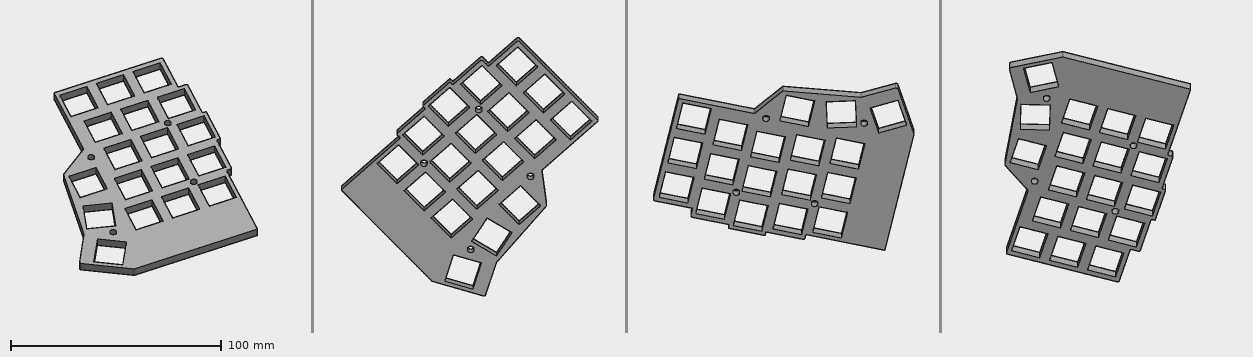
import cadquery as cq
import math


thickness = 5.0
plate_width = 113.46
corner_radius = 0.4
shoulder_radius = 0.9
tip_radius = 1.0

pitch = 18.85
stagger_unit = pitch / 8
cutout_size = 13.92
rim = 2.0
left_rim = 2.46
tip_side_rim = 1.87
tip_end_rim = 6.62
inner_top_rim = 1.95
outer_top_rim = 2.35
row_count = 3
column_staggers = [0, 2 * stagger_unit, 3 * stagger_unit, 2 * stagger_unit, stagger_unit]
first_key_x = left_rim + cutout_size / 2
first_key_y = rim + cutout_size / 2


def column_x(column):
    return first_key_x + column * pitch


def column_top(column):
    """Height of the upper cutout edge of a column."""
    return first_key_y + column_staggers[column] + (row_count - 1) * pitch + cutout_size / 2


thumb_1_x = column_x(2) + pitch / 2
thumb_1_y = first_key_y + column_staggers[2] - 21.8
thumb_2_x = thumb_1_x + 20.8
thumb_2_y = thumb_1_y - 2.75
thumb_3_x = thumb_2_x + 22.1
thumb_3_y = thumb_2_y - 3.7
thumb_3_tilt = 30.0
thumb_keys = [
    (thumb_1_x, thumb_1_y, 0.0),
    (thumb_2_x, thumb_2_y, 15.0),
    (thumb_3_x, thumb_3_y, thumb_3_tilt),
]

hole_diameter = 3.2
hole_points = [
    (column_x(1) + pitch / 2, 43.05),
    (column_x(3) + pitch / 2, 40.85),
    (42.9, 1.4),
    (89.0, -6.3),
]

thumb_start_x = 36.9
thumb_low_corner = (47.5, -14.75)
thumb_bend = (84.5, -19.5)
step_1_x = column_x(1) - cutout_size / 2 - rim
step_2_x = column_x(2) - cutout_size / 2 - rim
step_3_x = column_x(2) + cutout_size / 2 + rim
step_4_x = column_x(3) + cutout_size / 2 + rim
tip_side_offset = cutout_size / 2 + tip_side_rim
tip_end_offset = cutout_size / 2 + tip_end_rim


def thumb_3_point(along, below):
    """Plate position of a point given along and below the tilted third thumb key."""
    tilt = math.radians(thumb_3_tilt)
    x = thumb_3_x + along * math.cos(tilt) - below * math.sin(tilt)
    y = thumb_3_y - along * math.sin(tilt) - below * math.cos(tilt)
    return (x, y)


def round_corner(plate, corner, radius):
    middle = (corner[0], corner[1], thickness / 2)
    return plate.edges(cq.selectors.NearestToPointSelector(middle)).fillet(radius)


def make_plate():
    tip = thumb_3_point(tip_side_offset, tip_end_offset)
    slope = math.tan(math.radians(thumb_3_tilt))
    right_corner = (plate_width, tip[1] + (plate_width - tip[0]) / slope)
    left_top = column_top(0) + outer_top_rim
    shoulder_top = column_top(1) + outer_top_rim
    peak_top = column_top(2) + inner_top_rim
    right_top = column_top(4) + inner_top_rim
    outline = [
        (0, 0),
        (thumb_start_x, 0),
        thumb_low_corner,
        thumb_bend,
        tip,
        right_corner,
        (plate_width, right_top),
        (step_4_x, right_top),
        (step_4_x, shoulder_top),
        (step_3_x, shoulder_top),
        (step_3_x, peak_top),
        (step_2_x, peak_top),
        (step_2_x, shoulder_top),
        (step_1_x, shoulder_top),
        (step_1_x, left_top),
        (0, left_top),
    ]
    plate = cq.Workplane("XY").polyline(outline).close().extrude(thickness)
    wide_corners = {
        (0, left_top): shoulder_radius,
        (step_1_x, shoulder_top): shoulder_radius,
        (step_4_x, shoulder_top): shoulder_radius,
        tip: tip_radius,
    }
    for corner in outline:
        plate = round_corner(plate, corner, wide_corners.get(corner, corner_radius))
    return plate


def key_cutout(x, y, tilt):
    cutout = cq.Workplane("XY").rect(cutout_size, cutout_size).extrude(thickness)
    return cutout.rotate((0, 0, 0), (0, 0, 1), -tilt).translate((x, y, 0))


def cut_finger_keys(plate):
    for column, stagger in enumerate(column_staggers):
        for row in range(row_count):
            y = first_key_y + stagger + row * pitch
            plate = plate.cut(key_cutout(column_x(column), y, 0))
    return plate


def cut_thumb_keys(plate):
    for x, y, tilt in thumb_keys:
        plate = plate.cut(key_cutout(x, y, tilt))
    return plate


def cut_screw_holes(plate):
    holes = cq.Workplane("XY").pushPoints(hole_points).circle(hole_diameter / 2).extrude(thickness)
    return plate.cut(holes)


result = cut_screw_holes(cut_thumb_keys(cut_finger_keys(make_plate())))